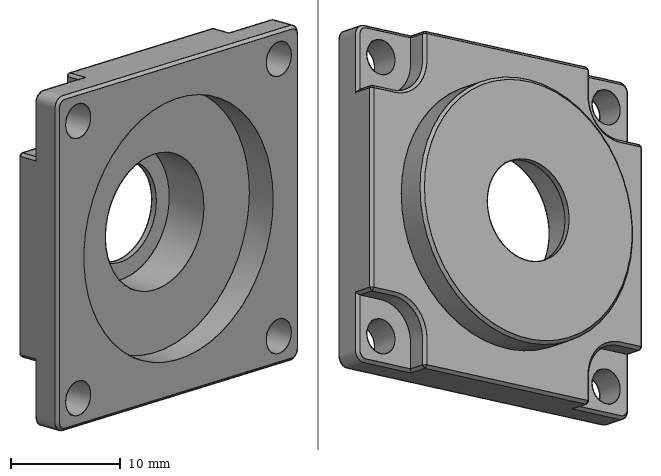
import cadquery as cq

plate_side = 32.0
plate_thickness = 5.0
total_depth = 8.0
plate_corner_radius = 1.0
edge_chamfer = 0.3

boss_diameter = 25.0
bore_diameter = 9.6
lip_thickness = 0.6
bearing_bore_diameter = 13.0

hole_diameter = 3.3
hole_edge_distance = 2.75
pocket_radius = 3.5
pocket_depth = 2.0

half_side = plate_side / 2
half_depth = total_depth / 2
plate_front_x = half_depth - plate_thickness
boss_height = total_depth - plate_thickness
recess_diameter = boss_diameter
recess_depth = boss_height
pocket_floor_x = plate_front_x + pocket_depth
hole_offset = half_side - hole_edge_distance
pocket_wall_offset = hole_offset - pocket_radius
corner_signs = [(y_sign, z_sign) for y_sign in (-1, 1) for z_sign in (-1, 1)]
face_tolerance = 0.003


def plane_at(x):
    """Sketch plane normal to +X, with local x along Y and local y along Z."""
    return cq.Workplane("YZ", origin=(x, 0, 0))


def corner_pocket(y_sign, z_sign):
    """Recess open to two sides, with its inner corner rounded about the screw hole."""
    pocket_side = half_side - pocket_wall_offset
    return (
        plane_at(plate_front_x)
        .center(y_sign * half_side, z_sign * half_side)
        .rect(2 * pocket_side, 2 * pocket_side)
        .extrude(pocket_depth)
        .edges("|X")
        .fillet(pocket_radius)
    )


def lies_on_side(edge):
    """True for edges on the outer rim of the plate, including its rounded corners."""
    center = edge.Center()
    return max(abs(center.y), abs(center.z)) > half_side - plate_corner_radius


def needs_chamfer(edge):
    """Front and back outlines, pocket floor rims and the ends of the pocket walls."""
    x = edge.Center().x
    box = edge.BoundingBox()
    if box.xlen > face_tolerance:
        reaches_front = box.xmin < plate_front_x + face_tolerance
        ends_at_floor = abs(box.xmax - pocket_floor_x) < face_tolerance
        return reaches_front and ends_at_floor and lies_on_side(edge)
    if abs(x - plate_front_x) < face_tolerance:
        return True
    return lies_on_side(edge)


def chamfered_plate():
    plate = (
        plane_at(plate_front_x)
        .rect(plate_side, plate_side)
        .extrude(plate_thickness)
        .edges("|X")
        .fillet(plate_corner_radius)
    )
    for y_sign, z_sign in corner_signs:
        plate = plate.cut(corner_pocket(y_sign, z_sign))
    edges = [edge for edge in plate.edges().vals() if needs_chamfer(edge)]
    return plate.newObject(edges).chamfer(edge_chamfer)


def boss():
    return (
        plane_at(plate_front_x)
        .circle(boss_diameter / 2)
        .extrude(-boss_height)
        .faces("<X")
        .chamfer(edge_chamfer)
    )


def stepped_bore():
    """Thin front lip, a wider bearing bore behind it and a recess open at the back."""
    bearing_bore_x = lip_thickness - half_depth
    recess_floor_x = half_depth - recess_depth
    lip_bore = plane_at(-half_depth).circle(bore_diameter / 2).extrude(total_depth)
    bearing_bore = plane_at(bearing_bore_x).circle(bearing_bore_diameter / 2).extrude(half_depth - bearing_bore_x)
    back_recess = plane_at(recess_floor_x).circle(recess_diameter / 2).extrude(recess_depth)
    return lip_bore.union(bearing_bore).union(back_recess)


def screw_holes():
    hole_centers = [(y_sign * hole_offset, z_sign * hole_offset) for y_sign, z_sign in corner_signs]
    return plane_at(plate_front_x).pushPoints(hole_centers).circle(hole_diameter / 2).extrude(plate_thickness)


result = chamfered_plate().union(boss()).cut(stepped_bore()).cut(screw_holes())